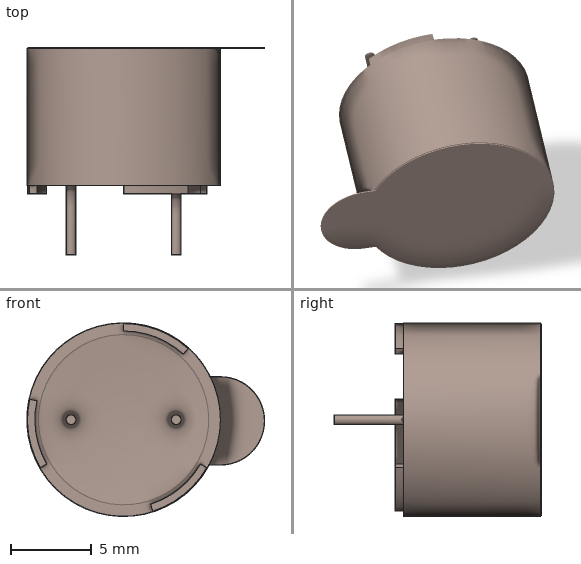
import cadquery as cq
import math

body_radius = 6.0
body_length = 8.5
film_thickness = 0.06
pin_length = 4.29

recess_radius = 5.28
recess_depth = 0.3

foot_count = 3
foot_outer_radius = 5.96
foot_inner_radius = 5.5
foot_height = 0.52
foot_first_angle = 47.7
foot_sweep = 42.3

pin_radius = 0.6 / 2
pin_spacing = 6.52

tab_radius = 2.75
tab_center_x = 14.75 - body_radius - tab_radius
tab_center_z = -0.07


def disc(radius, y_start, y_end, x=0, z=0):
    """Cylinder parallel to Y between two Y positions."""
    start = cq.Vector(x, y_start, z)
    return cq.Workplane(cq.Solid.makeCylinder(radius, y_end - y_start, start, cq.Vector(0, 1, 0)))


def body():
    """Solid of revolution with the dished recess in its pin face."""
    sphere_radius = (recess_radius**2 + recess_depth**2) / (2 * recess_depth)
    recess_mid_radius = recess_radius / 2
    recess_mid_depth = recess_depth - sphere_radius + math.sqrt(sphere_radius**2 - recess_mid_radius**2)
    profile = (
        cq.Workplane("XY")
        .moveTo(0, recess_depth)
        .threePointArc((recess_mid_radius, recess_mid_depth), (recess_radius, 0))
        .lineTo(body_radius, 0)
        .lineTo(body_radius, body_length)
        .lineTo(0, body_length)
        .close()
    )
    return profile.revolve(360, (0, 0), (0, 1))


def foot(angle):
    """Arc-shaped foot that starts at an angle measured from +X toward +Z."""
    return (
        cq.Workplane("XY")
        .moveTo(foot_inner_radius, -foot_height)
        .lineTo(foot_outer_radius, -foot_height)
        .lineTo(foot_outer_radius, 0)
        .lineTo(foot_inner_radius, 0)
        .close()
        .revolve(foot_sweep, (0, 0), (0, -1))
        .rotate((0, 0, 0), (0, -1, 0), angle)
    )


def film():
    """Thin round film with a pull tab reaching past the body on +X."""
    y_end = body_length + film_thickness
    cover = disc(body_radius - film_thickness, body_length, y_end)
    tab_end = disc(tab_radius, body_length, y_end, tab_center_x, tab_center_z)
    tab_neck = cq.Workplane("XY").box(
        tab_center_x, film_thickness, 2 * tab_radius, centered=(False, False, True)
    ).translate((0, body_length, tab_center_z))
    return cover.union(tab_end).union(tab_neck)


result = body().union(film())

for index in range(foot_count):
    result = result.union(foot(foot_first_angle + index * 360 / foot_count))

for side in (-1, 1):
    result = result.union(disc(pin_radius, -pin_length, recess_depth, side * pin_spacing / 2))